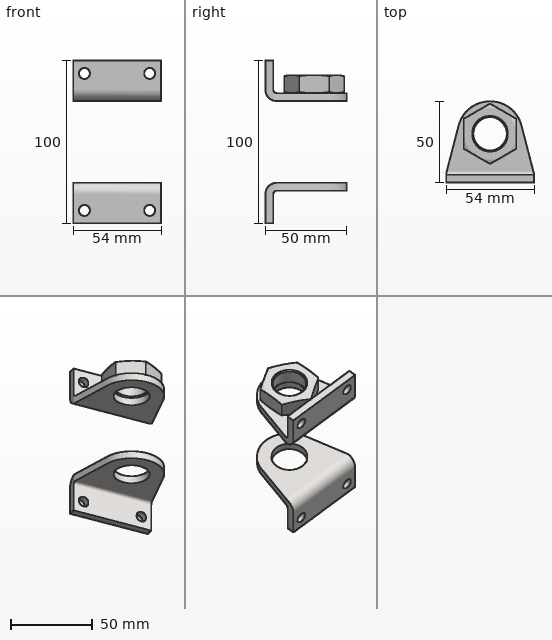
import cadquery as cq
import math

width = 54.0
plate_thickness = 5.0
bracket_height = 25.0
inner_bend_radius = 2.0
outer_bend_radius = inner_bend_radius + plate_thickness
nose_radius = 20.0
eye_to_flange_face = 30.0
eye_diameter = 22.1
taper_start = 5.5
screw_hole_diameter = 6.6
screw_hole_spacing = 40.0
screw_hole_edge_distance = 8.0

nut_across_flats = 32.0
nut_height = 11.0
nut_turn = 30.0
nut_bore_diameter = 20.38
nut_bore_chamfer = 0.8
nut_washer_face_diameter = 31.9
nut_corner_drop = 0.7

bracket_gap = 50.0
flange_face_y = -eye_to_flange_face
plate_face_z = bracket_gap / 2
nut_seat_z = plate_face_z + plate_thickness


def angle_profile():
    """Full-width L-shaped strip with a rounded bend."""
    top_z = plate_face_z + bracket_height
    strip = (
        cq.Workplane("YZ")
        .moveTo(nose_radius, plate_face_z)
        .lineTo(flange_face_y, plate_face_z)
        .lineTo(flange_face_y, top_z)
        .lineTo(flange_face_y + plate_thickness, top_z)
        .lineTo(flange_face_y + plate_thickness, nut_seat_z)
        .lineTo(nose_radius, nut_seat_z)
        .close()
        .extrude(width / 2, both=True)
    )
    outer_corner = cq.NearestToPointSelector((0, flange_face_y, plate_face_z))
    inner_corner = cq.NearestToPointSelector((0, flange_face_y + plate_thickness, nut_seat_z))
    strip = strip.edges("|X").edges(outer_corner).fillet(outer_bend_radius)
    return strip.edges("|X").edges(inner_corner).fillet(inner_bend_radius)


def plan_outline():
    """Prism of the plan shape: straight foot, tapered sides and a nose tangent to them."""
    half_width = width / 2
    corner_y = flange_face_y + taper_start
    corner_distance = math.hypot(half_width, corner_y)
    tangent_angle = math.atan2(corner_y, half_width) + math.acos(nose_radius / corner_distance)
    tangent_x = nose_radius * math.cos(tangent_angle)
    tangent_y = nose_radius * math.sin(tangent_angle)
    return (
        cq.Workplane("XY", origin=(0, 0, plate_face_z))
        .moveTo(-half_width, flange_face_y)
        .lineTo(half_width, flange_face_y)
        .lineTo(half_width, corner_y)
        .lineTo(tangent_x, tangent_y)
        .threePointArc((0, nose_radius), (-tangent_x, tangent_y))
        .lineTo(-half_width, corner_y)
        .close()
        .extrude(bracket_height)
    )


def make_bracket():
    """Upper bracket, with its flange pointing up."""
    eye = (
        cq.Workplane("XY", origin=(0, 0, plate_face_z))
        .circle(eye_diameter / 2)
        .extrude(plate_thickness)
    )
    screw_z = plate_face_z + bracket_height - screw_hole_edge_distance
    screw_holes = (
        cq.Workplane("XZ", origin=(0, flange_face_y, screw_z))
        .pushPoints([(side * screw_hole_spacing / 2, 0) for side in (-1, 1)])
        .circle(screw_hole_diameter / 2)
        .extrude(-plate_thickness)
    )
    return angle_profile().intersect(plan_outline()).cut(eye).cut(screw_holes)


def make_nut():
    """Hexagon nut with two corners on the Y axis, chamfered on both ends."""
    corner_radius = nut_across_flats / math.sqrt(3)
    washer_radius = nut_washer_face_diameter / 2
    hexagon = (
        cq.Workplane("XY")
        .polygon(6, 2 * corner_radius)
        .extrude(nut_height)
        .rotate((0, 0, 0), (0, 0, 1), nut_turn)
    )
    chamfer_envelope = (
        cq.Workplane("XZ")
        .moveTo(0, 0)
        .lineTo(washer_radius, 0)
        .lineTo(corner_radius, nut_corner_drop)
        .lineTo(corner_radius, nut_height - nut_corner_drop)
        .lineTo(washer_radius, nut_height)
        .lineTo(0, nut_height)
        .close()
        .revolve(360, (0, 0, 0), (0, 1, 0))
    )
    bore = cq.Workplane("XY").circle(nut_bore_diameter / 2).extrude(nut_height)
    nut = hexagon.intersect(chamfer_envelope).cut(bore)
    bore_rims = cq.selectors.RadiusNthSelector(0)
    nut = nut.edges("%CIRCLE").edges(bore_rims).chamfer(nut_bore_chamfer)
    return nut.translate((0, 0, nut_seat_z))


upper_bracket = make_bracket()
brackets = [upper_bracket, upper_bracket.mirror("XY")]
nut = make_nut()

result = cq.Compound.makeCompound([*(bracket.val() for bracket in brackets), nut.val()])